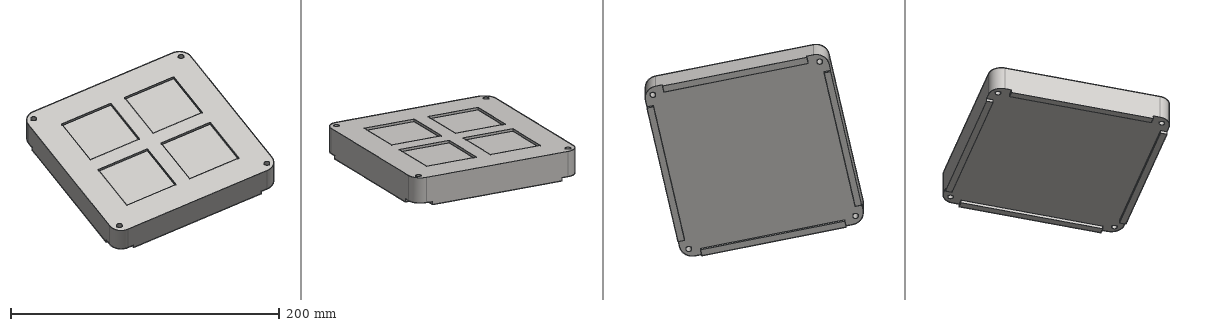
import cadquery as cq

SIDE = 140.0
HEIGHT = 22.5
CORNER_RADIUS = 10.0

RIM_HEIGHT = 2.5
RIM_THICKNESS = 5.0
CORNER_NOTCH = 15.0

POCKET_SIDE = 42.4
POCKET_PITCH = 54.2
POCKET_DEPTH = 2.0

HOLE_DIAMETER = 4.2
HOLE_INSET = 6.5


def square_grid(pitch):
    """Return a workplane at Z = 0 with four points centred on the Z axis."""
    return cq.Workplane("XY").rarray(pitch, pitch, 2, 2)


def make_body():
    return (
        cq.Workplane("XY")
        .rect(SIDE, SIDE)
        .extrude(HEIGHT)
        .edges("|Z")
        .fillet(CORNER_RADIUS)
    )


def make_underside_recess():
    """Space inside the rim, joined with the open corners."""
    inner_side = SIDE - 2 * RIM_THICKNESS
    inside = cq.Workplane("XY").rect(inner_side, inner_side).extrude(RIM_HEIGHT)
    corners = (
        square_grid(SIDE - CORNER_NOTCH)
        .rect(CORNER_NOTCH, CORNER_NOTCH)
        .extrude(RIM_HEIGHT)
    )
    return inside.union(corners)


def make_pockets():
    return (
        square_grid(POCKET_PITCH)
        .rect(POCKET_SIDE, POCKET_SIDE)
        .extrude(POCKET_DEPTH)
        .translate((0, 0, HEIGHT - POCKET_DEPTH))
    )


def make_corner_holes():
    return (
        square_grid(SIDE - 2 * HOLE_INSET)
        .circle(HOLE_DIAMETER / 2)
        .extrude(HEIGHT)
    )


result = (
    make_body()
    .cut(make_underside_recess())
    .cut(make_pockets())
    .cut(make_corner_holes())
)